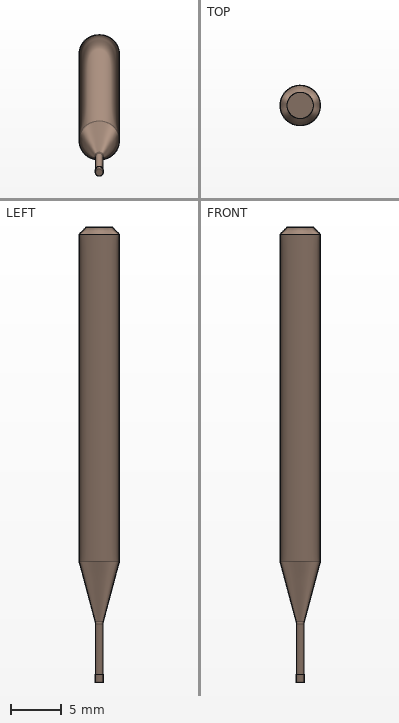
import cadquery as cq
import math

overall_length = 45.0
shank_diameter = 4.0
shank_chamfer = 0.7

tip_diameter = 0.8
tip_length = 0.8
tip_corner_radius = 0.05

neck_diameter = 0.76
neck_length = 5.0
neck_blend_radius = 1.0

taper_half_angle = math.radians(15)

shank_radius = shank_diameter / 2
neck_radius = neck_diameter / 2
tip_radius = tip_diameter / 2
neck_end_z = tip_length + neck_length


def blend_point(angle):
    """Point (radius, Z) on the blend arc after it has turned by the given angle."""
    radius = neck_radius + neck_blend_radius * (1 - math.cos(angle))
    z = neck_end_z + neck_blend_radius * math.sin(angle)
    return radius, z


def make_holder():
    """Shank, taper and neck, turned as one body that ends on top of the tip."""
    taper_start_radius, taper_start_z = blend_point(taper_half_angle)
    taper_length = (shank_radius - taper_start_radius) / math.tan(taper_half_angle)
    profile = (
        cq.Workplane("XZ")
        .moveTo(0, tip_length)
        .lineTo(neck_radius, tip_length)
        .lineTo(neck_radius, neck_end_z)
        .threePointArc(blend_point(taper_half_angle / 2), (taper_start_radius, taper_start_z))
        .lineTo(shank_radius, taper_start_z + taper_length)
        .lineTo(shank_radius, overall_length - shank_chamfer)
        .lineTo(shank_radius - shank_chamfer, overall_length)
        .lineTo(0, overall_length)
        .close()
    )
    return profile.revolve(360, (0, 0), (0, 1))


def make_cutting_tip():
    """Short cylinder below the neck with a rounded bottom corner."""
    tip = cq.Workplane("XY").circle(tip_radius).extrude(tip_length)
    return tip.faces("<Z").edges().fillet(tip_corner_radius)


holder = make_holder()
cutting_tip = make_cutting_tip()

result = cq.Compound.makeCompound([holder.val(), cutting_tip.val()])